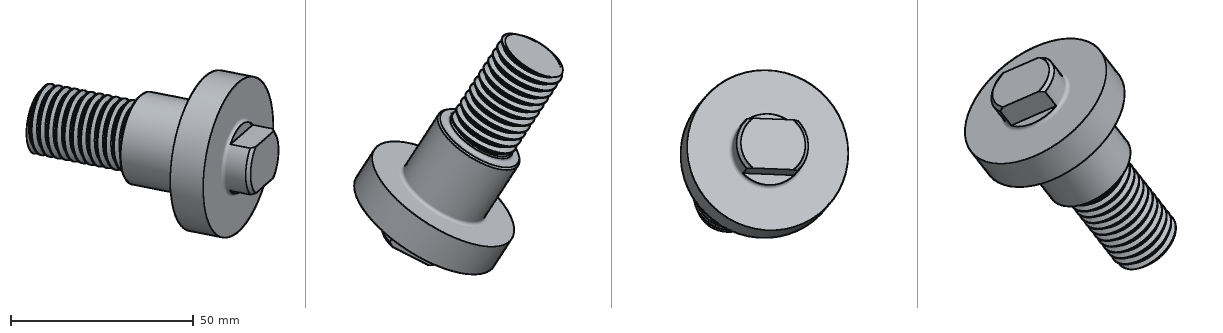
import cadquery as cq
import math

SHANK_LENGTH = 30.0
COLLAR_LENGTH = 20.0
FLANGE_LENGTH = 10.0
SEAT_LENGTH = 1.0
TANG_LENGTH = 7.0

COLLAR_DIAMETER = 26.0
FLANGE_DIAMETER = 45.0
TANG_DIAMETER = 20.0
ACROSS_FLATS = 14.0

FILLET_RADIUS = 1.0
COLLAR_CHAMFER = 0.5
TANG_CHAMFER = 1.0

THREAD_DIAMETER = 19.79
THREAD_ROOT_DIAMETER = 16.94
THREAD_PITCH = 2.5
FLANK_ANGLE = 30.0
CREST_WIDTH = 0.36
RIDGE_OVERLAP = 0.1

COLLAR_START = SHANK_LENGTH
FLANGE_START = COLLAR_START + COLLAR_LENGTH
SEAT_START = FLANGE_START + FLANGE_LENGTH
TANG_START = SEAT_START + SEAT_LENGTH
TOTAL_LENGTH = TANG_START + TANG_LENGTH
THREAD_END = SHANK_LENGTH - FILLET_RADIUS

THREAD_RADIUS = THREAD_DIAMETER / 2
ROOT_RADIUS = THREAD_ROOT_DIAMETER / 2
COLLAR_RADIUS = COLLAR_DIAMETER / 2
FLANGE_RADIUS = FLANGE_DIAMETER / 2
TANG_RADIUS = TANG_DIAMETER / 2


def make_body():
    """Thread core, collar, flange and round tang, revolved about X."""
    arc_inset = FILLET_RADIUS * (1 - math.sqrt(0.5))
    return (
        cq.Workplane("XY")
        .moveTo(0, 0)
        .lineTo(0, ROOT_RADIUS)
        .lineTo(THREAD_END, ROOT_RADIUS)
        .lineTo(THREAD_END, THREAD_RADIUS)
        .threePointArc(
            (COLLAR_START - arc_inset, THREAD_RADIUS + arc_inset),
            (COLLAR_START, THREAD_RADIUS + FILLET_RADIUS),
        )
        .lineTo(COLLAR_START, COLLAR_RADIUS - COLLAR_CHAMFER)
        .lineTo(COLLAR_START + COLLAR_CHAMFER, COLLAR_RADIUS)
        .lineTo(FLANGE_START - FILLET_RADIUS, COLLAR_RADIUS)
        .threePointArc(
            (FLANGE_START - arc_inset, COLLAR_RADIUS + arc_inset),
            (FLANGE_START, COLLAR_RADIUS + FILLET_RADIUS),
        )
        .lineTo(FLANGE_START, FLANGE_RADIUS)
        .lineTo(SEAT_START, FLANGE_RADIUS)
        .lineTo(SEAT_START, TANG_RADIUS + FILLET_RADIUS)
        .threePointArc(
            (SEAT_START + arc_inset, TANG_RADIUS + arc_inset),
            (SEAT_START + FILLET_RADIUS, TANG_RADIUS),
        )
        .lineTo(TOTAL_LENGTH - TANG_CHAMFER, TANG_RADIUS)
        .lineTo(TOTAL_LENGTH, TANG_RADIUS - TANG_CHAMFER)
        .lineTo(TOTAL_LENGTH, 0)
        .close()
        .revolve(360, (0, 0, 0), (1, 0, 0))
    )


def cut_flats(body):
    """Two parallel flats on the tang, facing +Z and -Z."""
    for side in (1, -1):
        cutter = cq.Workplane("XY").box(
            TANG_LENGTH, TANG_DIAMETER, TANG_RADIUS, centered=(False, True, True)
        )
        body = body.cut(cutter.translate((TANG_START, 0, side * (ACROSS_FLATS + TANG_RADIUS) / 2)))
    return body


def make_thread_ridge():
    """Helical ridge whose crest meets the threaded end face at -Z."""
    inner_radius = ROOT_RADIUS - RIDGE_OVERLAP
    half_crest = CREST_WIDTH / 2
    flank_run = (THREAD_RADIUS - inner_radius) * math.tan(math.radians(FLANK_ANGLE))
    half_base = half_crest + flank_run
    overrun = THREAD_PITCH
    helix_length = THREAD_END + 2 * overrun
    helix = cq.Wire.makeHelix(THREAD_PITCH, helix_length, inner_radius)
    ridge = (
        cq.Workplane("XZ")
        .moveTo(inner_radius, -half_base)
        .lineTo(THREAD_RADIUS, -half_crest)
        .lineTo(THREAD_RADIUS, half_crest)
        .lineTo(inner_radius, half_base)
        .close()
        .sweep(cq.Workplane(helix), isFrenet=True)
    )
    ridge = ridge.rotate((0, 0, 0), (0, 1, 0), 90).translate((-overrun, 0, 0))
    envelope = cq.Workplane("YZ").circle(COLLAR_RADIUS).extrude(THREAD_END)
    return ridge.intersect(envelope)


result = cut_flats(make_body()).union(make_thread_ridge())